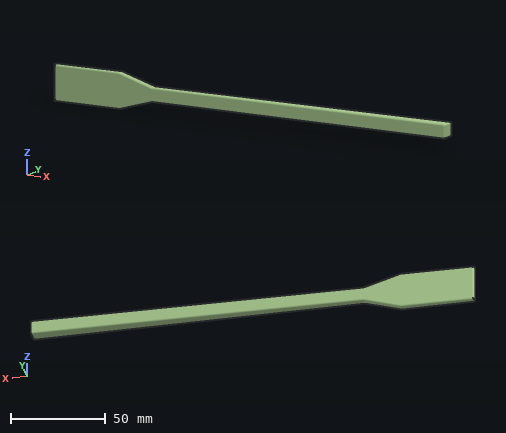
import cadquery as cq

LENGTH = 240.0
BLADE_WIDTH = 20.0
BLADE_LENGTH = 40.0
SHOULDER_LENGTH = 20.0
HANDLE_WIDTH = 8.0
TIP_THICKNESS = 4.0
HANDLE_THICKNESS = 8.0
EDGE_RADIUS = 1.0

BLADE_END = -LENGTH / 2
HANDLE_END = LENGTH / 2
SHOULDER_START = BLADE_END + BLADE_LENGTH
SHOULDER_END = SHOULDER_START + SHOULDER_LENGTH


def paddle_outline():
    """Blade, shoulders and handle in the XZ plane, extruded along Y."""
    upper_half = [
        (BLADE_END, BLADE_WIDTH / 2),
        (SHOULDER_START, BLADE_WIDTH / 2),
        (SHOULDER_END, HANDLE_WIDTH / 2),
        (HANDLE_END, HANDLE_WIDTH / 2),
    ]
    lower_half = [(x, -z) for x, z in reversed(upper_half)]
    return (
        cq.Workplane("XZ")
        .polyline(upper_half + lower_half)
        .close()
        .extrude(HANDLE_THICKNESS / 2, both=True)
    )


def thickness_wedge():
    """Profile in the XY plane, thickening evenly from blade end to handle end."""
    return (
        cq.Workplane("XY")
        .polyline([
            (BLADE_END, -TIP_THICKNESS / 2),
            (HANDLE_END, -HANDLE_THICKNESS / 2),
            (HANDLE_END, HANDLE_THICKNESS / 2),
            (BLADE_END, TIP_THICKNESS / 2),
        ])
        .close()
        .extrude(BLADE_WIDTH / 2, both=True)
    )


def round_edges(paddle):
    """Round the rims of both broad faces and of the handle end; other outline corners stay sharp."""
    broad_face_rims = paddle.faces("<Y or >Y").edges()
    handle_end_rim = paddle.faces(">X").edges()
    return broad_face_rims.add(handle_end_rim).fillet(EDGE_RADIUS)


result = round_edges(paddle_outline().intersect(thickness_wedge()))